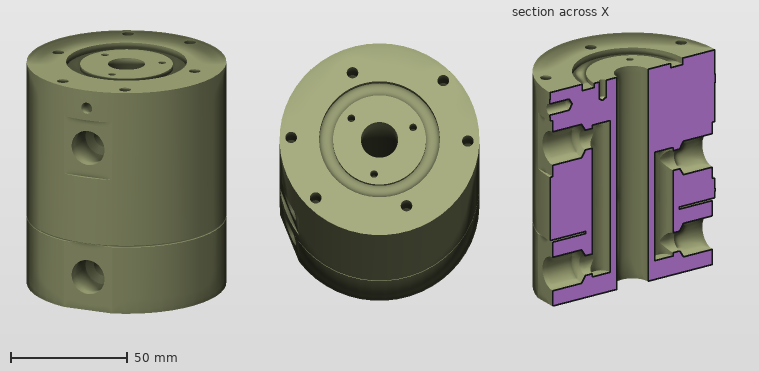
import cadquery as cq
import math

body_radius = 43.0
total_height = 100.0
base_height = 30.0
neck_height = 0.8
neck_radius = 24.5
housing_bottom = base_height + neck_height

bore_diameter = 16.0
hub_radius = 20.0
recess_radius = 26.0
recess_depth = 3.0
hub_drop = 1.0

flat_distance = 41.5
pocket_height = 26.0

port_diameter = 15.4
port_depth = 15.0
narrow_diameter = 9.0
passage_diameter = 9.2
passage_end_margin = 6.0
passage_offset = 16.3
base_port_height = 15.0
front_port_height = 73.5
rear_port_height = 53.3

screw_diameter = 5.0
screw_depth = 12.0
side_screw_radius = 32.0
corner_screw_radius = 38.0
corner_screw_angle = 67.5
hub_screw_diameter = 3.3
hub_screw_depth = 8.0
hub_screw_radius = 15.5
vent_height = 92.0
vent_depth = 10.0

drill_half_angle = 59.0
FRONT = -1
REAR = 1


def cylinder(radius, bottom, top):
    return cq.Workplane("XY").workplane(offset=bottom).circle(radius).extrude(top - bottom)


def drill_tip_length(radius):
    return radius / math.tan(math.radians(drill_half_angle))


def drilled_hole(diameter, depth, start, direction):
    """Cutter for a blind hole with a conical bottom; depth is that of the straight part."""
    radius = diameter / 2
    start = cq.Vector(*start)
    direction = cq.Vector(*direction)
    shaft = cq.Solid.makeCylinder(radius, depth, start, direction)
    tip = cq.Solid.makeCone(radius, 0, drill_tip_length(radius), start + direction * depth, direction)
    return cq.Workplane(shaft.fuse(tip))


def polar_point(radius, angle):
    return radius * math.cos(math.radians(angle)), radius * math.sin(math.radians(angle))


def make_body():
    base = cylinder(body_radius, 0, base_height)
    neck = cylinder(neck_radius, base_height, housing_bottom)
    housing = cylinder(body_radius, housing_bottom, total_height)
    bore = cylinder(bore_diameter / 2, 0, total_height)
    recess = cylinder(recess_radius, total_height - recess_depth, total_height)
    hub = cylinder(hub_radius, total_height - recess_depth, total_height - hub_drop)
    return base.union(neck).union(housing).cut(recess).union(hub).cut(bore)


def flat_cutter(side, bottom, top):
    """Block that removes everything beyond the flat on one side between two heights."""
    depth = body_radius - flat_distance
    middle = side * (flat_distance + depth / 2)
    block = cq.Workplane("XY").box(2 * body_radius, depth, top - bottom)
    return block.translate((0, middle, (bottom + top) / 2))


def port_cutter(side, height):
    """Wide drilled entry from the flat and a narrow bore to the axis of the passage."""
    start = (0, side * flat_distance, height)
    inward = (0, -side, 0)
    entry = drilled_hole(port_diameter, port_depth, start, inward)
    narrow_length = flat_distance - passage_offset
    narrow = cq.Solid.makeCylinder(narrow_diameter / 2, narrow_length, cq.Vector(*start), cq.Vector(*inward))
    return entry.union(cq.Workplane(narrow))


def passage_cutter(side, upper_port_height):
    """Blind vertical passage that joins the base port and the housing port on one side."""
    bottom = base_port_height - passage_end_margin
    top = upper_port_height + passage_end_margin
    passage = cylinder(passage_diameter / 2, bottom, top)
    return passage.translate((0, side * passage_offset, 0))


result = make_body()

for side, port_height in ((FRONT, front_port_height), (REAR, rear_port_height)):
    pocket_bottom = port_height - pocket_height / 2
    result = result.cut(flat_cutter(side, 0, base_height))
    result = result.cut(flat_cutter(side, pocket_bottom, pocket_bottom + pocket_height))
    result = result.cut(port_cutter(side, base_port_height))
    result = result.cut(port_cutter(side, port_height))
    result = result.cut(passage_cutter(side, port_height))

rim_points = [polar_point(side_screw_radius, angle) for angle in (0, 180)]
for centre_angle in (0, 180):
    for angle in (corner_screw_angle, 180 - corner_screw_angle):
        rim_points.append(polar_point(corner_screw_radius, centre_angle + angle))
for x, y in rim_points:
    result = result.cut(drilled_hole(screw_diameter, screw_depth, (x, y, total_height), (0, 0, -1)))

hub_top = total_height - hub_drop
for angle in (30, 150, 270):
    x, y = polar_point(hub_screw_radius, angle)
    result = result.cut(drilled_hole(hub_screw_diameter, hub_screw_depth, (x, y, hub_top), (0, 0, -1)))

result = result.cut(drilled_hole(screw_diameter, vent_depth, (0, -body_radius, vent_height), (0, 1, 0)))